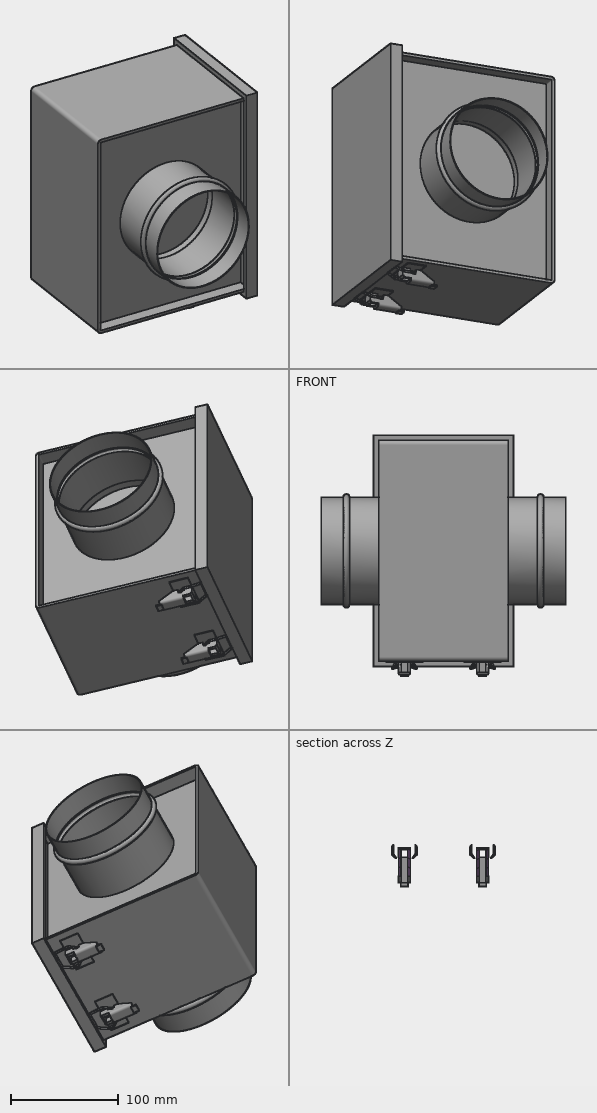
import cadquery as cq


overall_length = 227.0
overall_depth = 170.0
front_y = -81.7
back_y = front_y + overall_depth

box_width = 120.0
box_height = 205.0
lid_overhang = 5.0
lid_depth = 12.0
lid_front_y = back_y - lid_depth
lid_width = box_width + 2 * lid_overhang
lid_height = box_height + 2 * lid_overhang
sheet = 3.0
bend_radius = 4.0
recess_depth = 12.7
recess_into_lid = 4.5
panel_x = box_width / 2 - recess_depth

spigot_radius = 50.0
spigot_wall = 0.7
bead_radius = 3.0
bead_inset = 23.4
bore_depth_in_box = 6.8

latch_x = 36.3
plate_width = 34.0
plate_start = 11.1
plate_end = 29.5
plate_thickness = 1.0
lever_width = 11.4
lever_channel_width = 6.1
lever_drop = 10.0
lever_toe = 43.4
lever_chamfer = 1.8
back_wall = 1.8
gap_start = 18.8
gap_end = 25.0
gap_height = 2.0
handle_start = 19.7
handle_bottom = 12.7
handle_round = 2.5
tab_end = 47.0
tab_bottom = 13.6
tab_thickness = 1.5
tab_width = 6.8
tab_lap = 1.8
wire_radius = 1.0
pivot_forward = 24.0
pivot_down = 4.5
bow_half_width = 11.0
bow_start = 10.7
bow_end = 17.0
bow_down = 6.4
hook_half_width = 8.2
hook_down = 2.0


def block(x_range, y_range, z_range):
    """Box between the given limits."""
    size = [high - low for low, high in (x_range, y_range, z_range)]
    corner = (x_range[0], y_range[0], z_range[0])
    return cq.Workplane("XY").box(*size, centered=False).translate(corner)


def spigot_form(radius, ring_radius, end_x):
    """Round bar on the -X side from the spigot end to end_x, ringed by a bead of half-round section."""
    start_x = -overall_length / 2
    bead_x = start_x + bead_inset
    return (
        cq.Workplane("XZ")
        .moveTo(start_x, 0)
        .lineTo(start_x, radius)
        .lineTo(bead_x - ring_radius, radius)
        .threePointArc((bead_x, radius + ring_radius), (bead_x + ring_radius, radius))
        .lineTo(end_x, radius)
        .lineTo(end_x, 0)
        .close()
        .revolve(360, (0, 0, 0), (1, 0, 0))
    )


def spigot():
    """Outside of a spigot, reaching to the side panel."""
    return spigot_form(spigot_radius, bead_radius, -panel_x)


def spigot_bore():
    """Space inside a spigot: a blind bore just past the side panel and the hollow of the bead."""
    return spigot_form(spigot_radius - spigot_wall, bead_radius - spigot_wall, bore_depth_in_box - panel_x)


def side_recess():
    """Pocket in the -X side of the box that runs back into the lid."""
    half_height = box_height / 2 - sheet
    pocket = block(
        (-box_width / 2, -panel_x),
        (front_y + sheet, lid_front_y + recess_into_lid),
        (-half_height, half_height),
    )
    return pocket.edges("|X and <Y").fillet(bend_radius - sheet)


def build_housing():
    """Box, lid, recessed side panels and spigots in one piece."""
    box = block(
        (-box_width / 2, box_width / 2),
        (front_y, back_y),
        (-box_height / 2, box_height / 2),
    ).edges("|X and <Y").fillet(bend_radius)
    lid = block(
        (-lid_width / 2, lid_width / 2),
        (lid_front_y, back_y),
        (-lid_height / 2, lid_height / 2),
    )
    body = box.union(lid)
    for mirrored in (False, True):
        features = [side_recess(), spigot(), spigot_bore()]
        if mirrored:
            features = [feature.mirror("YZ") for feature in features]
        recess, tube, bore = features
        body = body.cut(recess).union(tube).cut(bore)
    return body


def forward(distance):
    """Y of a point the given distance in front of the lid."""
    return lid_front_y - distance


def down(distance):
    """Z of a point the given distance below the box."""
    return -box_height / 2 - distance


def latch_block(width, start, end, top, bottom):
    """Box centred on the latch, between the given forward and down limits."""
    return block((-width / 2, width / 2), (forward(end), forward(start)), (down(bottom), down(top)))


def latch_lever():
    """Open channel with sloping cheeks and a rounded handle ending in a thin tab."""
    profile = [
        (plate_start, plate_thickness),
        (plate_end, plate_thickness),
        (lever_toe, lever_drop),
        (plate_start + lever_chamfer, lever_drop),
        (plate_start, lever_drop - lever_chamfer),
    ]
    cheeks = (
        cq.Workplane("YZ")
        .polyline([(forward(along), down(drop)) for along, drop in profile])
        .close()
        .extrude(lever_width / 2, both=True)
    )
    channel = latch_block(
        lever_channel_width, plate_start + back_wall, lever_toe, plate_thickness, lever_drop)
    gap = latch_block(
        lever_width, gap_start, gap_end, plate_thickness, plate_thickness + gap_height)
    handle = latch_block(
        lever_width, handle_start, lever_toe, lever_drop, handle_bottom
    ).edges("|Y and <Z").fillet(handle_round)
    tab = latch_block(tab_width, lever_toe - tab_lap, tab_end, tab_bottom - tab_thickness, tab_bottom)
    return cheeks.cut(channel).cut(gap).union(handle).union(tab)


def latch_wire():
    """Bent wire loop from the lever cheeks, bowed outward, to a cross bar at the lid."""
    half_path = [
        (lever_width / 2 - wire_radius, pivot_forward, pivot_down),
        (bow_half_width, bow_end, bow_down),
        (bow_half_width, bow_start, bow_down),
        (hook_half_width, wire_radius, hook_down),
    ]
    other_half = [(-across, along, drop) for across, along, drop in reversed(half_path)]
    points = [
        cq.Vector(across, forward(along), down(drop))
        for across, along, drop in half_path + other_half
    ]
    path = cq.Workplane("XY").polyline(points)
    start_plane = cq.Plane(origin=points[0], normal=points[1] - points[0])
    return cq.Workplane(start_plane).circle(wire_radius).sweep(path, transition="round")


def build_latch(center_x):
    """One toggle latch: mounting plate, lever and wire loop."""
    plate = latch_block(plate_width, plate_start, plate_end, 0, plate_thickness)
    return plate.union(latch_lever()).union(latch_wire()).translate((center_x, 0, 0))


housing = build_housing()
latches = [build_latch(center_x) for center_x in (-latch_x, latch_x)]

result = cq.Compound.makeCompound([housing.solids().val(), *[latch.solids().val() for latch in latches]])